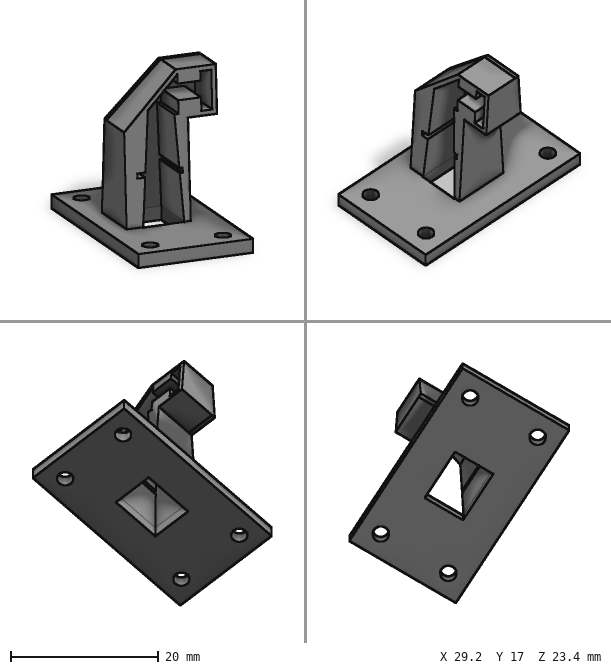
import cadquery as cq
import math

plate_length = 29.25
plate_width = 17.0
plate_thickness = 2.0
screw_hole_diameter = 2.2
screw_hole_spacing_x = 23.05
screw_hole_spacing_y = 10.75

total_height = 23.35
front_y = -5.5
back_y = 4.0
arm_end_y = 8.3
ridge_y = 2.35
arm_underside_z = 16.4
shoulder_z = total_height - (ridge_y - front_y)

left_foot_x = -4.45
right_foot_x = 3.85
side_lean = 1.32
post_height = total_height - plate_thickness
lean_angle = math.atan2(side_lean, post_height)

cover_thickness = 0.58
wall = 0.7
hollow_half_width_foot = 3.05
hollow_half_width_neck = 2.0
neck_z = arm_underside_z + wall
ceiling_z = total_height - wall

tongue_back_y = 6.0
tongue_front_y = 2.6
tongue_gap_bottom_z = 19.0
tongue_gap_top_z = 21.35

slot_front_y = -3.7
slot_back_y = 3.0
slot_height = 0.7
slot_z = 9.2

opening_right_x = 3.95


def leaning_x(foot_x, lean, z):
    """X of a leaning side at height z; foot_x is its place on top of the plate."""
    return foot_x + lean * (z - plate_thickness) / post_height


def side_outline(foot_z):
    """YZ outline of the hooked post, starting at foot_z."""
    return [
        (front_y, foot_z),
        (front_y, shoulder_z),
        (ridge_y, total_height),
        (arm_end_y, total_height),
        (arm_end_y, arm_underside_z),
        (back_y, arm_underside_z),
        (back_y, foot_z),
    ]


def across_plate(points):
    """Prism along X with a YZ outline, as long as the plate."""
    return cq.Workplane("YZ").polyline(points).close().extrude(plate_length / 2, both=True)


def along_plate_width(points):
    """Prism along Y with an XZ outline, as long as the plate is wide."""
    return cq.Workplane("XZ").polyline(points).close().extrude(plate_width / 2, both=True)


def make_plate():
    plate = cq.Workplane("XY").box(plate_length, plate_width, plate_thickness, centered=(True, True, False))
    holes = (
        cq.Workplane("XY")
        .rect(screw_hole_spacing_x, screw_hole_spacing_y, forConstruction=True)
        .vertices()
        .circle(screw_hole_diameter / 2)
        .extrude(plate_thickness)
    )
    return plate.cut(holes)


inner_foot_x = left_foot_x + cover_thickness / math.cos(lean_angle)


def make_cover():
    """Closed -X wall, extruded square to its leaning face."""
    leaning_plane = cq.Plane(
        origin=(left_foot_x, 0, plate_thickness),
        xDir=(0, 1, 0),
        normal=(math.cos(lean_angle), 0, -math.sin(lean_angle)),
    )
    foot_z = plate_thickness / 2
    points = [(y, (z - plate_thickness) / math.cos(lean_angle)) for y, z in side_outline(foot_z)]
    return cq.Workplane(leaning_plane).polyline(points).close().extrude(cover_thickness)


def make_core():
    """Rest of the post, between the cover and the +X side."""
    section = [
        (inner_foot_x, plate_thickness),
        (right_foot_x, plate_thickness),
        (leaning_x(right_foot_x, -side_lean, total_height), total_height),
        (leaning_x(inner_foot_x, side_lean, total_height), total_height),
    ]
    return across_plate(side_outline(plate_thickness)).intersect(along_plate_width(section))


def make_hollow():
    """Flared hollow in the post joined to a waisted one in the arm, crossed by a slot."""
    taper = (hollow_half_width_foot - hollow_half_width_neck) / (neck_z - plate_thickness)

    roof_rise = total_height - ridge_y - wall * math.sqrt(2)
    eave_y = (taper * (roof_rise - plate_thickness) - hollow_half_width_foot) / (1 - taper)
    eave_z = eave_y + roof_rise
    arm_inner_y = arm_end_y - wall

    outline = [
        (-hollow_half_width_foot, plate_thickness),
        (eave_y, eave_z),
        (tongue_front_y, tongue_front_y + roof_rise),
        (tongue_front_y, tongue_gap_top_z),
        (tongue_back_y, tongue_gap_top_z),
        (tongue_back_y, ceiling_z),
        (arm_inner_y, ceiling_z),
        (arm_inner_y, neck_z),
        (tongue_back_y, neck_z),
        (tongue_back_y, tongue_gap_bottom_z),
        (tongue_front_y, tongue_gap_bottom_z),
        (tongue_front_y, neck_z),
        (hollow_half_width_neck, neck_z),
        (hollow_half_width_foot, plate_thickness),
    ]
    slot = [
        (slot_front_y, slot_z - slot_height / 2),
        (slot_front_y, slot_z + slot_height / 2),
        (slot_back_y, slot_z + slot_height / 2),
        (slot_back_y, slot_z - slot_height / 2),
    ]
    return across_plate(outline).union(across_plate(slot))


def make_plate_opening():
    """Rectangular way through the plate below the hollow."""
    opening_length = opening_right_x - inner_foot_x
    return (
        cq.Workplane("XY")
        .center((inner_foot_x + opening_right_x) / 2, 0)
        .rect(opening_length, 2 * hollow_half_width_foot)
        .extrude(plate_thickness)
    )


plate = make_plate().cut(make_plate_opening())
hollow_core = make_core().cut(make_hollow())
result = plate.union(make_cover()).union(hollow_core)